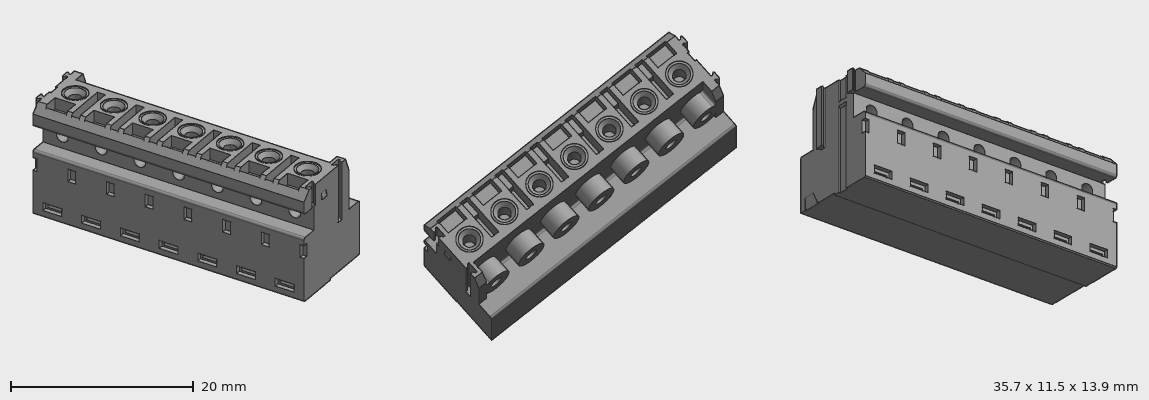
import cadquery as cq
import math


POLES = 7
PITCH = 5.0
LENGTH = POLES * PITCH
DEPTH = 11.5
HEIGHT = 13.9
EDGE_RADIUS = 0.3

FOOT_DEPTH = 5.5
FOOT_HEIGHT = 0.2
FOOT_CHAMFER = 0.15
LIP_CHAMFER = 1.07
LIP_BOTTOM = 11.22
NECK_FRONT = 2.07
FRONT_SHOULDER = 8.2
BACK_SHOULDER = 7.1
CHEEK_BACK = 9.33
CHEEK_TOP_BACK = 8.6
CHEEK_SLOPE_START = 12.1

CHEEK_THICKNESS = 1.1
RECESS_FRONT = 7.1

TUBE_DIAMETER = 3.6
TUBE_BORE = 1.5
TUBE_HEIGHT = 9.72

SCREW_Y = 4.75
SCREW_RING_DIAMETER = 3.0
SCREW_RING_DEPTH = 0.1
SCREW_CONE_DIAMETER = 2.45
SCREW_CONE_DEPTH = 0.55
SCREW_BORE = 1.45
SCREW_DEPTH = 2.85

POCKET_WIDTH = 2.65
POCKET_FRONT = 0.8
POCKET_BACK = 2.7
POCKET_DEPTH = 1.45
SLOT_WIDTH = 1.0
SLOT_BACK = 6.15
SLOT_DEPTH = 2.68

UPPER_WINDOW_WIDTH = 1.0
UPPER_WINDOW_BOTTOM = 5.6
UPPER_WINDOW_TOP = 7.2
WINDOW_DEPTH = 0.57
LOWER_WINDOW_WIDTH = 2.43
LOWER_WINDOW_BOTTOM = 0.85
LOWER_WINDOW_TOP = 1.85
RAMP_WIDTH = 1.85
RAMP_BOTTOM = 1.07
RAMP_TOP = 1.43
RAMP_DEPTH = 0.2

RAIL_REACH = 0.57
RAIL_EDGE_REACH = 0.45
RAIL_NECK_REACH = 0.18
RAIL_FACE_WIDTH = 0.9
RAIL_WIDTH = 1.1
RAIL_NECK_WIDTH = 0.6
GROOVE_DEPTH = 0.68
GROOVE_SIDE_DEPTH = 0.45
GROOVE_LIP_DEPTH = 0.25
GROOVE_WIDTH = 1.35
GROOVE_MOUTH_WIDTH = 0.8
BACK_RAIL_Y = 7.5
BACK_RAIL_BOTTOM = 6.55
FRONT_RAIL_Y = 2.05

LATCH_FRONT = 3.43
LATCH_BACK = 4.7
LATCH_DEPTH = 0.2
LATCH_BAR_BOTTOM = 10.7
LATCH_RAMP_HEIGHT = 0.25
NUB_FRONT = 3.57
NUB_BACK = 4.57
NUB_BOTTOM = 11.35
NUB_TOP = 12.1
NUB_REACH = 0.15

RELIEF_TOP = 1.8
RELIEF_BACK = 10.7
RELIEF_FRONT_TOP = 9.25
RELIEF_FRONT_BOTTOM = 8.5
RELIEF_DEPTH = 0.1

POLE_XS = [PITCH * (pole + 0.5) for pole in range(POLES)]
GAP_XS = [PITCH * pole for pole in range(1, POLES)]
BOUNDARY_XS = [0.0, *GAP_XS, LENGTH]


def box(x_min, x_max, y_min, y_max, z_min, z_max):
    size = (x_max - x_min, y_max - y_min, z_max - z_min)
    return cq.Workplane("XY").box(*size, centered=False).translate((x_min, y_min, z_min))


def edges_near(x_min, x_max, y, z, tolerance=0.05):
    """Selector for edges whose middle lies on a line along X."""
    return cq.selectors.BoxSelector(
        (x_min, y - tolerance, z - tolerance), (x_max, y + tolerance, z + tolerance)
    )


def make_body():
    profile = [
        (0, 0),
        (FOOT_DEPTH, 0),
        (FOOT_DEPTH, FOOT_HEIGHT),
        (DEPTH, FOOT_HEIGHT),
        (DEPTH, BACK_SHOULDER),
        (CHEEK_BACK, BACK_SHOULDER),
        (CHEEK_BACK, CHEEK_SLOPE_START),
        (CHEEK_TOP_BACK, HEIGHT),
        (LIP_CHAMFER, HEIGHT),
        (0, HEIGHT - LIP_CHAMFER),
        (0, LIP_BOTTOM),
        (NECK_FRONT, LIP_BOTTOM),
        (NECK_FRONT, FRONT_SHOULDER),
        (0, FRONT_SHOULDER),
    ]
    body = cq.Workplane("YZ").polyline(profile).close().extrude(LENGTH)
    for y, z in [(0, LIP_BOTTOM), (0, FRONT_SHOULDER), (DEPTH, BACK_SHOULDER)]:
        body = body.edges(edges_near(0, LENGTH, y, z)).fillet(EDGE_RADIUS)
    body = body.edges(edges_near(0, LENGTH, 0, 0)).chamfer(FOOT_CHAMFER)

    recess = box(
        CHEEK_THICKNESS, LENGTH - CHEEK_THICKNESS, RECESS_FRONT, DEPTH, BACK_SHOULDER, HEIGHT
    )
    body = body.cut(recess)
    return body.edges(edges_near(0, LENGTH, RECESS_FRONT, BACK_SHOULDER)).fillet(EDGE_RADIUS)


def cylinder_along_y(x, z, diameter, y_min, y_max):
    circle = cq.Workplane("XZ", origin=(x, y_min, z)).circle(diameter / 2)
    return circle.extrude(y_min - y_max)


def corner_blend():
    """Web at the left cheek, rounded into both the cheek and the end tube."""
    tube_x = POLE_XS[0]
    tube_radius = TUBE_DIAMETER / 2
    centre_x = CHEEK_THICKNESS + EDGE_RADIUS
    reach = tube_radius + EDGE_RADIUS
    rise = math.sqrt(reach**2 - (tube_x - centre_x) ** 2)
    centre_z = TUBE_HEIGHT + rise
    tangent_angle = math.atan2(-rise, tube_x - centre_x)
    middle_angle = (tangent_angle - math.pi) / 2

    def on_arc(angle):
        return (
            centre_x + EDGE_RADIUS * math.cos(angle),
            centre_z + EDGE_RADIUS * math.sin(angle),
        )

    return (
        cq.Workplane("XZ", origin=(0, RECESS_FRONT, 0))
        .moveTo(CHEEK_THICKNESS, centre_z)
        .threePointArc(on_arc(middle_angle), on_arc(tangent_angle))
        .lineTo(tube_x, TUBE_HEIGHT)
        .lineTo(CHEEK_THICKNESS, TUBE_HEIGHT)
        .close()
        .extrude(RECESS_FRONT - CHEEK_BACK)
    )


def mirrored_to_right(shape):
    return shape.mirror("YZ", (LENGTH / 2, 0, 0))


def add_wire_tubes(body):
    for x in POLE_XS:
        tube = cylinder_along_y(x, TUBE_HEIGHT, TUBE_DIAMETER, RECESS_FRONT, CHEEK_BACK)
        body = body.union(tube)
    blend = corner_blend()
    body = body.union(blend).union(mirrored_to_right(blend))
    for x in POLE_XS:
        body = body.cut(cylinder_along_y(x, TUBE_HEIGHT, TUBE_BORE, 0, DEPTH))
    return body


def screw_hole(x):
    ring_z = HEIGHT - SCREW_RING_DEPTH
    section = [
        (0, HEIGHT),
        (SCREW_RING_DIAMETER / 2, HEIGHT),
        (SCREW_RING_DIAMETER / 2, ring_z),
        (SCREW_CONE_DIAMETER / 2, ring_z),
        (SCREW_BORE / 2, ring_z - SCREW_CONE_DEPTH),
        (SCREW_BORE / 2, HEIGHT - SCREW_DEPTH),
        (0, HEIGHT - SCREW_DEPTH),
    ]
    hole = cq.Workplane("XZ").polyline(section).close().revolve(360, (0, 0), (0, 1))
    return hole.translate((x, SCREW_Y, 0))


def cut_top(body):
    pocket_floor = HEIGHT - POCKET_DEPTH
    for x in POLE_XS:
        half = POCKET_WIDTH / 2
        body = body.cut(screw_hole(x))
        body = body.cut(box(x - half, x + half, POCKET_FRONT, POCKET_BACK, pocket_floor, HEIGHT))
    for x in GAP_XS:
        half = SLOT_WIDTH / 2
        body = body.cut(box(x - half, x + half, POCKET_FRONT, POCKET_BACK, pocket_floor, HEIGHT))
        body = body.cut(box(x - half, x + half, POCKET_BACK, SLOT_BACK, HEIGHT - SLOT_DEPTH, HEIGHT))
    return body


def lower_window(x):
    half = LOWER_WINDOW_WIDTH / 2
    window = box(x - half, x + half, 0, WINDOW_DEPTH, LOWER_WINDOW_BOTTOM, LOWER_WINDOW_TOP)
    ramp = (
        cq.Workplane("YZ", origin=(x, 0, 0))
        .moveTo(WINDOW_DEPTH, RAMP_BOTTOM)
        .lineTo(WINDOW_DEPTH, RAMP_TOP)
        .lineTo(WINDOW_DEPTH + RAMP_DEPTH, RAMP_TOP)
        .close()
        .extrude(RAMP_WIDTH / 2, both=True)
    )
    return window.union(ramp)


def cut_front_windows(body):
    half = UPPER_WINDOW_WIDTH / 2
    for x in BOUNDARY_XS:
        window = box(x - half, x + half, 0, WINDOW_DEPTH, UPPER_WINDOW_BOTTOM, UPPER_WINDOW_TOP)
        body = body.cut(window)
    for x in POLE_XS:
        body = body.cut(lower_window(x))
    return body


def dovetail(x_end, stations, y_centre, z_bottom):
    """Upright prism with a symmetric outline; stations are (distance outward from x_end, width)."""
    back = [(x_end - reach, y_centre + width / 2) for reach, width in stations]
    front = [(x_end - reach, y_centre - width / 2) for reach, width in reversed(stations)]
    outline = cq.Workplane("XY", origin=(0, 0, z_bottom)).polyline(back + front).close()
    return outline.extrude(HEIGHT - z_bottom)


def add_rails_and_grooves(body):
    rail = [
        (0, RAIL_NECK_WIDTH),
        (RAIL_NECK_REACH, RAIL_NECK_WIDTH),
        (RAIL_EDGE_REACH, RAIL_WIDTH),
        (RAIL_REACH, RAIL_FACE_WIDTH),
    ]
    groove = [
        (0, GROOVE_MOUTH_WIDTH),
        (GROOVE_LIP_DEPTH, GROOVE_MOUTH_WIDTH),
        (GROOVE_SIDE_DEPTH, GROOVE_WIDTH),
        (GROOVE_DEPTH, GROOVE_WIDTH),
    ]
    for y, z_bottom in [(BACK_RAIL_Y, BACK_RAIL_BOTTOM), (FRONT_RAIL_Y, LIP_BOTTOM)]:
        body = body.union(dovetail(0, rail, y, z_bottom))
        body = body.cut(dovetail(LENGTH, groove, y, z_bottom))
    return body


def add_latch(body):
    body = body.cut(box(0, LATCH_DEPTH, LATCH_FRONT, LATCH_BACK, LIP_BOTTOM, HEIGHT))
    lower_recess = (
        cq.Workplane("XZ", origin=(0, LATCH_FRONT, 0))
        .moveTo(0, 0)
        .lineTo(LATCH_DEPTH, 0)
        .lineTo(LATCH_DEPTH, LATCH_BAR_BOTTOM - LATCH_RAMP_HEIGHT)
        .lineTo(0, LATCH_BAR_BOTTOM)
        .close()
        .extrude(LATCH_FRONT - LATCH_BACK)
    )
    nub = (
        cq.Workplane("XZ", origin=(LENGTH, NUB_FRONT, 0))
        .moveTo(0, NUB_BOTTOM)
        .lineTo(NUB_REACH, NUB_BOTTOM)
        .lineTo(0, NUB_TOP)
        .close()
        .extrude(NUB_FRONT - NUB_BACK)
    )
    return body.cut(lower_recess).union(nub)


def cut_end_relief(body):
    outline = [
        (RELIEF_BACK, RELIEF_TOP),
        (RELIEF_FRONT_TOP, RELIEF_TOP),
        (RELIEF_FRONT_BOTTOM, FOOT_HEIGHT),
        (RELIEF_BACK, FOOT_HEIGHT),
    ]
    footprint = cq.Workplane("YZ").polyline(outline).close().extrude(RELIEF_DEPTH)

    rise = RELIEF_TOP - FOOT_HEIGHT
    radius = (rise**2 + RELIEF_DEPTH**2) / (2 * RELIEF_DEPTH)
    middle_angle = math.asin(rise / radius) / 2
    arc_middle = (radius * (1 - math.cos(middle_angle)), RELIEF_TOP - radius * math.sin(middle_angle))
    depth_profile = (
        cq.Workplane("XZ")
        .moveTo(0, RELIEF_TOP)
        .threePointArc(arc_middle, (RELIEF_DEPTH, FOOT_HEIGHT))
        .lineTo(0, FOOT_HEIGHT)
        .close()
        .extrude(-DEPTH)
    )
    return body.cut(footprint.intersect(depth_profile))


result = make_body()
result = add_wire_tubes(result)
result = cut_top(result)
result = cut_front_windows(result)
result = add_rails_and_grooves(result)
result = add_latch(result)
result = cut_end_relief(result)